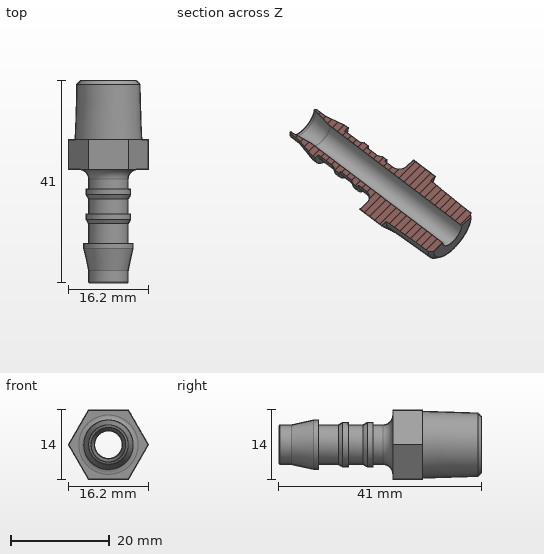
import cadquery as cq
import math


hex_across_flats = 14.0
hex_across_corners = hex_across_flats / math.cos(math.radians(30))
hex_length = 6.0

thread_length = 12.0
thread_end_y = hex_length + thread_length
thread_gauge_diameter = 13.157
thread_gauge_length = 6.0
taper_per_side = 1 / 32
thread_chamfer = 0.8

tail_length = 23.0
tail_radius = 4.0
root_fillet = 2.0
tip_round = 0.3

ring_radius = 4.5
ring_length = 2.0
ring_cone_angle = 30.0
ring_starts = [4.0, 9.0]

barb_radius = 5.0
barb_start = 15.0
barb_land = 1.0
barb_end = 20.5

bore_radius = 2.8
entry_radius = 3.5
entry_land = 0.5
entry_depth = 5.0


def revolve_about_y(profile):
    """Turn a closed profile of (y, radius) points about the Y axis."""
    return profile.close().revolve(360, (0, 0, 0), (1, 0, 0))


def make_hexagon():
    return cq.Workplane("XZ").polygon(6, hex_across_corners).extrude(-hex_length)


def make_thread_blank():
    end_radius = thread_gauge_diameter / 2 - thread_gauge_length * taper_per_side
    base_radius = end_radius + thread_length * taper_per_side
    chamfer_radius = end_radius + thread_chamfer * taper_per_side
    profile = (
        cq.Workplane("YZ")
        .moveTo(hex_length, 0)
        .lineTo(hex_length, base_radius)
        .lineTo(thread_end_y - thread_chamfer, chamfer_radius)
        .lineTo(thread_end_y, chamfer_radius - thread_chamfer)
        .lineTo(thread_end_y, 0)
    )
    return revolve_about_y(profile)


def make_tail():
    root_radius = tail_radius + root_fillet
    profile = (
        cq.Workplane("YZ")
        .lineTo(0, root_radius)
        .radiusArc((-root_fillet, tail_radius), root_fillet)
        .lineTo(-tail_length + tip_round, tail_radius)
        .radiusArc((-tail_length, tail_radius - tip_round), -tip_round)
        .lineTo(-tail_length, 0)
    )
    return revolve_about_y(profile)


def make_ring(start):
    height = ring_radius - tail_radius
    cone_length = height / math.tan(math.radians(ring_cone_angle))
    end = start + ring_length
    profile = (
        cq.Workplane("YZ")
        .moveTo(-start, 0)
        .lineTo(-start, ring_radius)
        .lineTo(-end + cone_length, ring_radius)
        .lineTo(-end, tail_radius)
        .lineTo(-end, 0)
    )
    return revolve_about_y(profile)


def make_barb():
    profile = (
        cq.Workplane("YZ")
        .moveTo(-barb_start, 0)
        .lineTo(-barb_start, barb_radius)
        .lineTo(-barb_start - barb_land, barb_radius)
        .lineTo(-barb_end, tail_radius)
        .lineTo(-barb_end, 0)
    )
    return revolve_about_y(profile)


def make_bore():
    profile = (
        cq.Workplane("YZ")
        .moveTo(-tail_length, 0)
        .lineTo(-tail_length, entry_radius)
        .lineTo(-tail_length + entry_land, entry_radius)
        .lineTo(-tail_length + entry_depth, bore_radius)
        .lineTo(thread_end_y, bore_radius)
        .lineTo(thread_end_y, 0)
    )
    return revolve_about_y(profile)


body = make_hexagon().union(make_thread_blank()).union(make_tail()).union(make_barb())
for ring_start in ring_starts:
    body = body.union(make_ring(ring_start))

result = body.cut(make_bore())